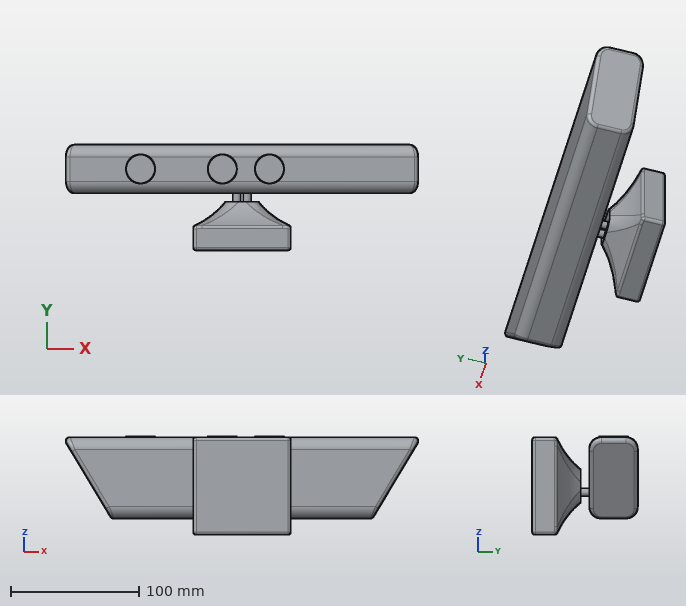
import cadquery as cq
import math

INCH = 25.4

plate_size = 3 * INCH
plate_depth = 0.75 * INCH
edge_radius = 0.1 * INCH

hub_depth = 0.75 * INCH
hub_tip_size = 1 * INCH
hub_flare_radius = 2.5 * INCH
hub_corner_radius = 0.5 * INCH

pin_diameter = 0.25 * INCH
neck_length = 0.25 * INCH
pin_spacing = 8.2
pin_drop = 4.9
pin_embed = 0.1 * INCH

bar_top_length = 11 * INCH
bar_bottom_length = 8 * INCH
bar_depth = 1.5 * INCH
bar_height = 2.5 * INCH
bar_radius = 0.375 * INCH
end_radius = 0.125 * INCH

lens_face_diameter = 0.875 * INCH
lens_foot_diameter = 0.9 * INCH
lens_rise = INCH / 32
lens_embed = 0.1 * INCH
lens_positions = (-79.0, -15.3, 21.4)

plate_middle_z = plate_size / 2
hub_tip_y = plate_depth + hub_depth
bar_front_y = hub_tip_y + neck_length
bar_middle_y = bar_front_y + bar_depth / 2
bar_top_z = plate_size
bar_bottom_z = bar_top_z - bar_height

selection_margin = 1.0


def flare_profile(plane):
    """Closed outline of plate and hub: straight sides, then concave arcs to the tip."""
    half_plate = plate_size / 2
    half_tip = hub_tip_size / 2
    run = half_plate - half_tip
    chord = math.hypot(run, hub_depth)
    sag = hub_flare_radius - math.sqrt(hub_flare_radius**2 - (chord / 2) ** 2)
    mid_half = (half_plate + half_tip) / 2 - sag * hub_depth / chord
    mid_y = plate_depth + hub_depth / 2 - sag * run / chord
    return (
        cq.Workplane(plane)
        .moveTo(-half_plate, 0)
        .lineTo(half_plate, 0)
        .lineTo(half_plate, plate_depth)
        .threePointArc((mid_half, mid_y), (half_tip, hub_tip_y))
        .lineTo(-half_tip, hub_tip_y)
        .threePointArc((-mid_half, mid_y), (-half_plate, plate_depth))
        .close()
    )


def make_mount():
    """Plate and hub: the flare seen from above crossed with the same flare seen from the side."""
    across = cq.Plane(origin=(0, 0, plate_middle_z), xDir=(1, 0, 0), normal=(0, 0, 1))
    upright = cq.Plane(origin=(0, 0, plate_middle_z), xDir=(0, 0, 1), normal=(-1, 0, 0))
    mount = flare_profile(across).extrude(plate_size / 2, both=True).intersect(
        flare_profile(upright).extrude(plate_size / 2, both=True)
    )
    corner_edges = cq.selectors.BoxSelector(
        (-plate_size, plate_depth + selection_margin, -plate_size),
        (plate_size, hub_tip_y - selection_margin, 2 * plate_size),
    )
    mount = mount.edges(corner_edges).fillet(hub_corner_radius)
    plate_edges = cq.selectors.BoxSelector(
        (-plate_size, -selection_margin, -plate_size),
        (plate_size, plate_depth + selection_margin, 2 * plate_size),
    )
    return mount.edges(plate_edges).fillet(edge_radius)


def make_bar():
    """Trapezoid bar with rounded long edges and smaller rounds around both end faces."""
    half_top = bar_top_length / 2
    half_bottom = bar_bottom_length / 2
    bar = (
        cq.Workplane("XZ", origin=(0, bar_front_y, 0))
        .moveTo(-half_bottom, bar_bottom_z)
        .lineTo(half_bottom, bar_bottom_z)
        .lineTo(half_top, bar_top_z)
        .lineTo(-half_top, bar_top_z)
        .close()
        .extrude(-bar_depth)
    )
    bar = bar.edges("|X").fillet(bar_radius)
    return bar.faces("<X or >X").edges().fillet(end_radius)


def make_pins():
    return (
        cq.Workplane("XZ", origin=(0, hub_tip_y - pin_embed, plate_middle_z - pin_drop))
        .pushPoints([(-pin_spacing / 2, 0), (pin_spacing / 2, 0)])
        .circle(pin_diameter / 2)
        .extrude(-(neck_length + 2 * pin_embed))
    )


def make_lens(x):
    """One lens: a foot sunk into the bar and a tapered disc above the bar top."""
    foot = cq.Solid.makeCylinder(
        lens_foot_diameter / 2,
        lens_embed,
        cq.Vector(x, bar_middle_y, bar_top_z - lens_embed),
    )
    disc = cq.Solid.makeCone(
        lens_foot_diameter / 2,
        lens_face_diameter / 2,
        lens_rise,
        cq.Vector(x, bar_middle_y, bar_top_z),
    )
    return cq.Workplane(foot).union(cq.Workplane(disc))


result = make_mount().union(make_bar()).union(make_pins())
for lens_x in lens_positions:
    result = result.union(make_lens(lens_x))